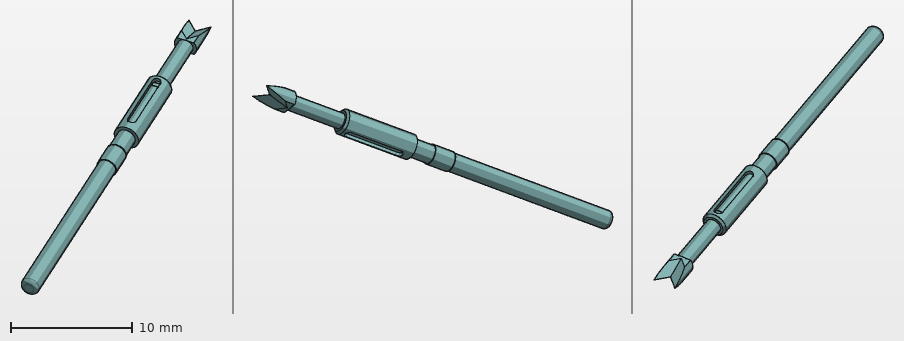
import cadquery as cq

TOTAL_LENGTH = 35.1
TIP_Y = TOTAL_LENGTH / 2

HEAD_END = 3.0
SLEEVE_START = 8.1
SLEEVE_END = 15.1
RING_START = 17.1
RING_END = 19.1

HEAD_DIAMETER = 2.0
HEAD_THICKNESS = 1.3
SHAFT_DIAMETER = 1.37
SLEEVE_DIAMETER = 2.2
SLEEVE_CHAMFER = 0.2
TUBE_DIAMETER = 1.6
RING_DIAMETER = 1.76
TAIL_FILLET = 0.35

NOTCH_DEPTH = HEAD_DIAMETER / 2
NOTCH_SLOPE_LENGTH = 1.8

SLOT_WIDTH = 0.75
SLOT_START = 8.6
SLOT_END = 14.35

FLAT_START = 8.8
FLAT_END = 9.2
FLAT_HEIGHT = 0.73


def cylinder(start, end, diameter):
    """Round bar between two stations measured back from the tips."""
    plane = cq.Workplane("XZ", origin=(0, TIP_Y - start, 0))
    return plane.circle(diameter / 2).extrude(end - start)


def make_notch(side):
    """V-shaped cutter above (side = 1) or below (side = -1) the axis plane.

    The walls of the V stand at 45 degrees to Y. It runs along its sloping valley from
    the axis plane to the flat of the head, and opens well beyond the tips.
    """
    half_width = 2 * HEAD_DIAMETER
    valley_y = TIP_Y - NOTCH_DEPTH
    open_y = valley_y + half_width
    inner_points = [(-half_width, open_y), (0, valley_y), (half_width, open_y)]
    inner = [cq.Vector(x, y, 0) for x, y in inner_points]
    shift = cq.Vector(0, -NOTCH_SLOPE_LENGTH, side * HEAD_THICKNESS / 2)
    outer = [point + shift for point in inner]
    wires = [cq.Wire.makePolygon(points, close=True) for points in (inner, outer)]
    return cq.Workplane(obj=cq.Solid.makeLoft(wires, True))


def make_head():
    """Round head with a flat above and below, notched into two sharp tips."""
    head = cylinder(0, HEAD_END, HEAD_DIAMETER)
    flats = cq.Workplane("XY").box(HEAD_DIAMETER, 2 * TOTAL_LENGTH, HEAD_THICKNESS)
    head = head.intersect(flats)
    for side in (1, -1):
        head = head.cut(make_notch(side))
    return head


def make_sleeve():
    """Sleeve with a chamfered front and a round-ended window cut through its top and bottom walls."""
    sleeve = cylinder(SLEEVE_START, SLEEVE_END, SLEEVE_DIAMETER)
    sleeve = sleeve.faces(">Y").edges().chamfer(SLEEVE_CHAMFER)
    slot_y = TIP_Y - (SLOT_START + SLOT_END) / 2
    slot = (
        cq.Workplane("XY", origin=(0, slot_y, 0))
        .slot2D(SLOT_END - SLOT_START, SLOT_WIDTH, angle=90)
        .extrude(SLEEVE_DIAMETER, both=True)
    )
    return sleeve.cut(slot)


def make_tube():
    """Tube with a rounded closed tail and a shallow flat milled near its front."""
    tube = cylinder(SLEEVE_START, TOTAL_LENGTH, TUBE_DIAMETER)
    tube = tube.faces("<Y").edges().fillet(TAIL_FILLET)
    length = FLAT_END - FLAT_START
    cutter = (
        cq.Workplane("XY", origin=(0, TIP_Y - FLAT_START - length / 2, FLAT_HEIGHT))
        .rect(TUBE_DIAMETER, length)
        .extrude(TUBE_DIAMETER)
    )
    return tube.cut(cutter)


result = (
    make_head()
    .union(cylinder(HEAD_END, SLEEVE_START, SHAFT_DIAMETER))
    .union(make_sleeve())
    .union(make_tube())
    .union(cylinder(RING_START, RING_END, RING_DIAMETER))
)